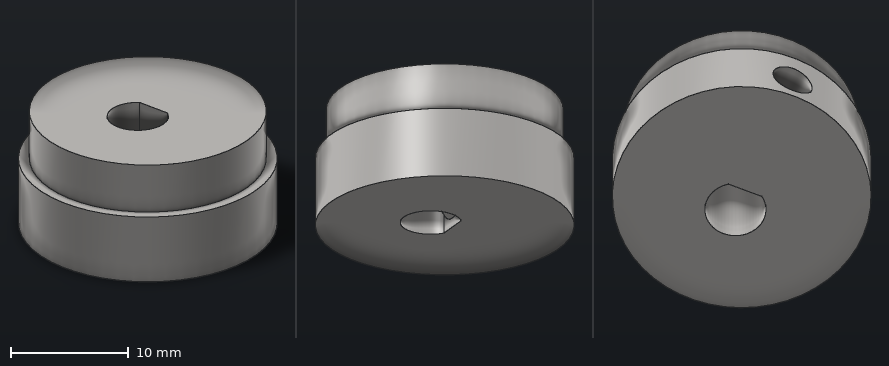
import cadquery as cq

base_diameter = 22.0
base_height = 6.2
upper_diameter = 20.15
total_height = 10.7

bore_diameter = 5.2
bore_offset_y = -1.35
bore_flat_y = 0.75

screw_diameter = 3.6
screw_height = 2.65


def make_body():
    base = cq.Workplane("XY").circle(base_diameter / 2).extrude(base_height)
    upper_height = total_height - base_height
    return base.faces(">Z").workplane().circle(upper_diameter / 2).extrude(upper_height)


def make_d_bore():
    bore = cq.Workplane("XY").center(0, bore_offset_y).circle(bore_diameter / 2).extrude(total_height)
    below_flat = (
        cq.Workplane("XY")
        .center(0, bore_flat_y - bore_diameter / 2)
        .rect(bore_diameter, bore_diameter)
        .extrude(total_height)
    )
    return bore.intersect(below_flat)


def make_screw_hole():
    return (
        cq.Workplane("XZ", origin=(0, bore_offset_y, screw_height))
        .circle(screw_diameter / 2)
        .extrude(bore_offset_y - base_diameter / 2)
    )


result = make_body().cut(make_d_bore()).cut(make_screw_hole())